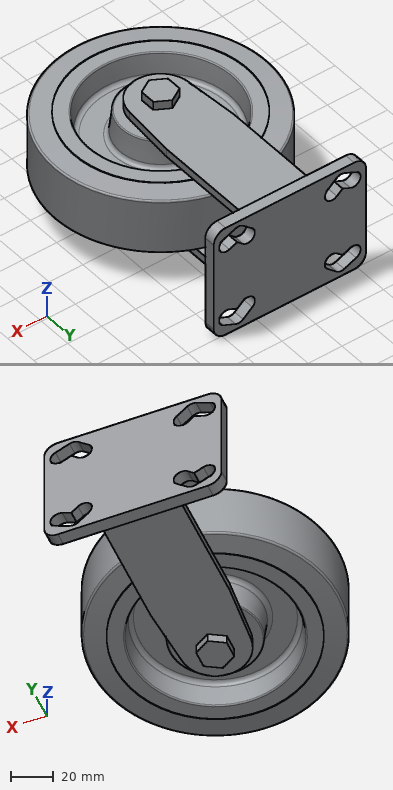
import cadquery as cq
import math


tyre_diameter = 125.0
tyre_radius = tyre_diameter / 2
tyre_edge_half_width = 16.0
tyre_edge_round = 1.0
rim_diameter = 101.56
rim_radius = rim_diameter / 2
rim_half_width = 17.5
rim_step = 0.4
rim_mouth_radius = 42.3
rim_wall_radius = 40.5
rim_lip_round = 0.7
web_half_width = 3.5
web_fillet = 2.5
hub_radius = 22.8
hub_base_radius = 24.5
hub_half_width = 19.0
hub_edge_round = 0.6

leg_inner_z = 20.75
leg_thickness = 4.75
leg_width = 40.0
leg_end_radius = 17.5
leg_taper_start_y = 30.0

spacer_diameter = 16.25
head_across_corners = 18.0
head_height = 5.0

plate_length = 90.0
plate_height = 66.0
plate_thickness = 6.5
plate_corner_radius = 7.0
plate_outer_y = 98.5
plate_inner_y = plate_outer_y - plate_thickness

slot_width = 8.6
slot_outer_end = (37.5, 22.5)
slot_bend = (30.4, 25.6)
slot_inner_end = (25.0, 21.0)

leg_outer_z = leg_inner_z + leg_thickness


def solid_of_revolution(points):
    """Turn a closed (radius, z) outline about the Z axis."""
    return cq.Workplane("YZ").polyline(points).close().revolve(360, (0, 0, 0), (0, 1, 0))


def make_tyre_and_rim():
    tyre = solid_of_revolution([
        (0, -rim_half_width),
        (rim_radius, -rim_half_width),
        (rim_radius, rim_step - rim_half_width),
        (tyre_radius, -tyre_edge_half_width),
        (tyre_radius, tyre_edge_half_width),
        (rim_radius, rim_half_width - rim_step),
        (rim_radius, rim_half_width),
        (0, rim_half_width),
    ])
    at_tyre_edge = cq.selectors.RadiusNthSelector(-1)
    return tyre.edges(at_tyre_edge).fillet(tyre_edge_round)


def make_recess():
    """Ring-shaped pocket between hub and rim on the +Z side of the wheel."""
    draft_per_height = (hub_base_radius - hub_radius) / (hub_half_width - web_half_width)
    hub_radius_at_rim_face = hub_radius + draft_per_height * (hub_half_width - rim_half_width)
    recess = solid_of_revolution([
        (hub_base_radius, web_half_width),
        (rim_wall_radius, web_half_width),
        (rim_mouth_radius, rim_half_width),
        (hub_radius_at_rim_face, rim_half_width),
    ])
    return recess.faces("<Z").edges().fillet(web_fillet)


def make_hub():
    hub = solid_of_revolution([
        (0, 0),
        (hub_base_radius, 0),
        (hub_base_radius, web_half_width),
        (hub_radius, hub_half_width),
        (0, hub_half_width),
    ])
    return hub.faces(">Z").edges().fillet(hub_edge_round)


def make_wheel():
    recess = make_recess()
    hub = make_hub()
    wheel = make_tyre_and_rim()
    wheel = wheel.cut(recess).cut(recess.mirror("XY"))
    recess_mouth = cq.selectors.RadiusNthSelector(1)
    for side_face in (">Z", "<Z"):
        wheel = wheel.faces(side_face).edges("%CIRCLE").edges(recess_mouth).fillet(rim_lip_round)
    return wheel.union(hub).union(hub.mirror("XY"))


def make_leg():
    """Leg on the +Z side; its tapered edges run tangent into the round end."""
    half_width = leg_width / 2
    shoulder_distance = math.hypot(half_width, leg_taper_start_y)
    shoulder_angle = math.atan2(leg_taper_start_y, half_width)
    tangent_angle = shoulder_angle - math.acos(leg_end_radius / shoulder_distance)
    tangent_x = leg_end_radius * math.cos(tangent_angle)
    tangent_y = leg_end_radius * math.sin(tangent_angle)
    return (
        cq.Workplane("XY", origin=(0, 0, leg_inner_z))
        .moveTo(-half_width, plate_inner_y)
        .lineTo(-half_width, leg_taper_start_y)
        .lineTo(-tangent_x, tangent_y)
        .threePointArc((0, -leg_end_radius), (tangent_x, tangent_y))
        .lineTo(half_width, leg_taper_start_y)
        .lineTo(half_width, plate_inner_y)
        .close()
        .extrude(leg_thickness)
    )


def make_spacer():
    length = 2 * leg_inner_z
    return cq.Workplane("XY", origin=(0, 0, -leg_inner_z)).circle(spacer_diameter / 2).extrude(length)


def make_bolt_head():
    """Hexagonal head on the +Z leg, with two of its corners on the Y axis."""
    head = cq.Workplane("XY").polygon(6, head_across_corners).extrude(head_height)
    return head.rotate((0, 0, 0), (0, 0, 1), 90).translate((0, 0, leg_outer_z))


def make_slot_leg(start, end):
    """Straight round-ended slot through the plate between two (x, z) centres."""
    run = end[0] - start[0]
    rise = end[1] - start[1]
    centre = ((start[0] + end[0]) / 2, plate_inner_y, (start[1] + end[1]) / 2)
    slot_angle = math.degrees(math.atan2(rise, run))
    return (
        cq.Workplane("XZ", origin=centre)
        .slot2D(math.hypot(run, rise) + slot_width, slot_width, slot_angle)
        .extrude(-plate_thickness)
    )


def make_plate():
    plate = (
        cq.Workplane("XZ", origin=(0, plate_inner_y, 0))
        .rect(plate_length, plate_height)
        .extrude(-plate_thickness)
        .edges("|Y")
        .fillet(plate_corner_radius)
    )
    slot = make_slot_leg(slot_outer_end, slot_bend).union(make_slot_leg(slot_bend, slot_inner_end))
    slot_pair = slot.union(slot.mirror("YZ"))
    return plate.cut(slot_pair).cut(slot_pair.mirror("XY"))


result = make_plate().union(make_wheel()).union(make_spacer())
for side_part in (make_leg(), make_bolt_head()):
    result = result.union(side_part).union(side_part.mirror("XY"))